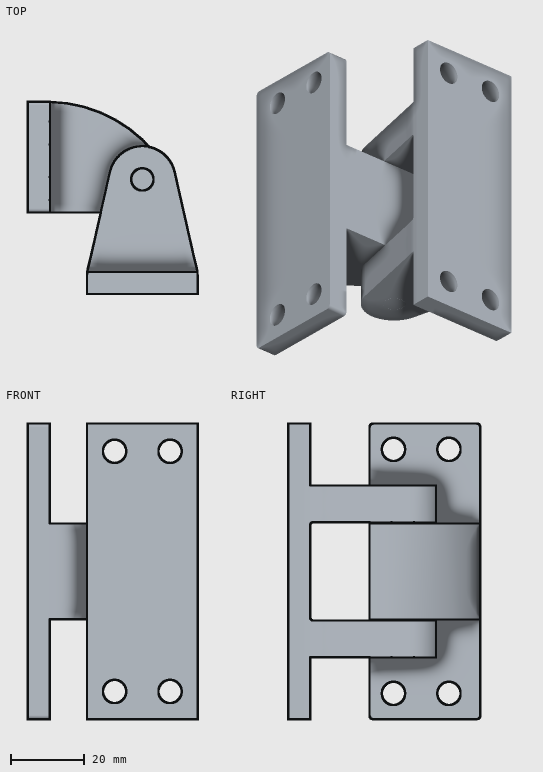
import cadquery as cq
import math

height = 80.0
mid_z = height / 2
plate_width = 30.0
plate_thickness = 6.0
screw_hole_diameter = 6.2
screw_spacing_across = plate_width / 2

pivot_x = 31.0
pivot_y = 31.0
pin_diameter = 6.0
pin_hole_diameter = 6.1

bracket_plate_thickness = 6.0
lug_radius = 9.0
lug_thickness = 10.0
lug_gap = 26.6
gap_corner_radius = 0.8
bracket_screw_spacing_z = 65.0
side_blend_start_y = 4.6
side_blend_radius = 11.2
foot_angle = math.radians(14)
foot_end_y = 9.8

leaf_min_y = 22.0
leaf_max_y = leaf_min_y + plate_width
leaf_corner_radius = 1.0
leaf_screw_mid_y = 36.0
leaf_screw_spacing_z = 66.0
knuckle_height = 26.0
knuckle_arc_radius = 37.6
knuckle_arc_center_x = 5.2
knuckle_arc_center_y = leaf_max_y - knuckle_arc_radius

lug_outer_span = lug_gap + 2 * lug_thickness


def box_between(x_range, y_range, z_range):
    """Box given by its lower and upper limits on each axis."""
    return cq.Workplane("XY").box(
        x_range[1] - x_range[0], y_range[1] - y_range[0], z_range[1] - z_range[0], centered=False
    ).translate((x_range[0], y_range[0], z_range[0]))


def bracket_profile():
    """Closed plan outline of plate and lug, symmetric about the pivot in X."""
    half_width = plate_width / 2

    def blend_point(angle):
        inset = side_blend_radius * (1 - math.cos(angle))
        return half_width - inset, side_blend_start_y + side_blend_radius * math.sin(angle)

    blend_middle = blend_point(foot_angle / 2)
    blend_end = blend_point(foot_angle)
    foot_end = (blend_end[0] - (foot_end_y - blend_end[1]) * math.tan(foot_angle), foot_end_y)

    rise = pivot_y - foot_end_y
    taper_angle = math.atan2(foot_end[0], rise) - math.asin(lug_radius / math.hypot(foot_end[0], rise))
    tangent = (lug_radius * math.cos(taper_angle), pivot_y + lug_radius * math.sin(taper_angle))

    def right(point):
        return pivot_x + point[0], point[1]

    def left(point):
        return pivot_x - point[0], point[1]

    plate_corner = (half_width, 0)
    blend_start = (half_width, side_blend_start_y)
    return (
        cq.Workplane("XY")
        .moveTo(*left(plate_corner))
        .lineTo(*right(plate_corner))
        .lineTo(*right(blend_start))
        .threePointArc(right(blend_middle), right(blend_end))
        .lineTo(*right(foot_end))
        .lineTo(*right(tangent))
        .threePointArc((pivot_x, pivot_y + lug_radius), left(tangent))
        .lineTo(*left(foot_end))
        .lineTo(*left(blend_end))
        .threePointArc(left(blend_middle), left(blend_start))
        .close()
    )


def pivot_cylinder(diameter, length):
    """Cylinder on the pivot axis, centred in height."""
    return (
        cq.Workplane("XY", origin=(pivot_x, pivot_y, mid_z))
        .circle(diameter / 2)
        .extrude(length / 2, both=True)
    )


def make_bracket():
    body = bracket_profile().extrude(height)

    clear_x = (pivot_x - plate_width, pivot_x + plate_width)
    clear_y = (bracket_plate_thickness, pivot_y + plate_width)
    lugs_bottom = mid_z - lug_outer_span / 2
    lugs_top = mid_z + lug_outer_span / 2
    gap_z = (mid_z - lug_gap / 2, mid_z + lug_gap / 2)
    gap = box_between(clear_x, clear_y, gap_z).edges("|X and <Y").fillet(gap_corner_radius)
    body = body.cut(gap)
    for z_range in ((0, lugs_bottom), (lugs_top, height)):
        body = body.cut(box_between(clear_x, clear_y, z_range))

    body = body.cut(pivot_cylinder(pin_hole_diameter, lug_outer_span))

    screw_holes = (
        cq.Workplane("XZ", origin=(pivot_x, 0, mid_z))
        .rarray(screw_spacing_across, bracket_screw_spacing_z, 2, 2)
        .circle(screw_hole_diameter / 2)
        .extrude(-bracket_plate_thickness)
    )
    return body.cut(screw_holes)


def make_knuckle():
    """Block behind the leaf plate, bounded by its curved outer side."""
    def arc_point(angle):
        return (
            knuckle_arc_center_x + knuckle_arc_radius * math.cos(angle),
            knuckle_arc_center_y + knuckle_arc_radius * math.sin(angle),
        )

    start_angle = math.acos((plate_thickness - knuckle_arc_center_x) / knuckle_arc_radius)
    end_angle = math.asin((leaf_min_y - knuckle_arc_center_y) / knuckle_arc_radius)
    return (
        cq.Workplane("XY", origin=(0, 0, mid_z))
        .moveTo(plate_thickness, leaf_min_y)
        .lineTo(*arc_point(start_angle))
        .threePointArc(arc_point((start_angle + end_angle) / 2), arc_point(end_angle))
        .close()
        .extrude(knuckle_height / 2, both=True)
    )


def make_leaf():
    plate = box_between((0, plate_thickness), (leaf_min_y, leaf_max_y), (0, height))
    plate = plate.edges("|X").fillet(leaf_corner_radius)
    screw_holes = (
        cq.Workplane("YZ", origin=(0, leaf_screw_mid_y, mid_z))
        .rarray(screw_spacing_across, leaf_screw_spacing_z, 2, 2)
        .circle(screw_hole_diameter / 2)
        .extrude(plate_thickness)
    )
    pin = pivot_cylinder(pin_diameter, lug_outer_span)
    return plate.cut(screw_holes).union(make_knuckle()).union(pin)


bracket = make_bracket()
leaf = make_leaf()
result = cq.Compound.makeCompound([bracket.solids().val(), leaf.solids().val()])